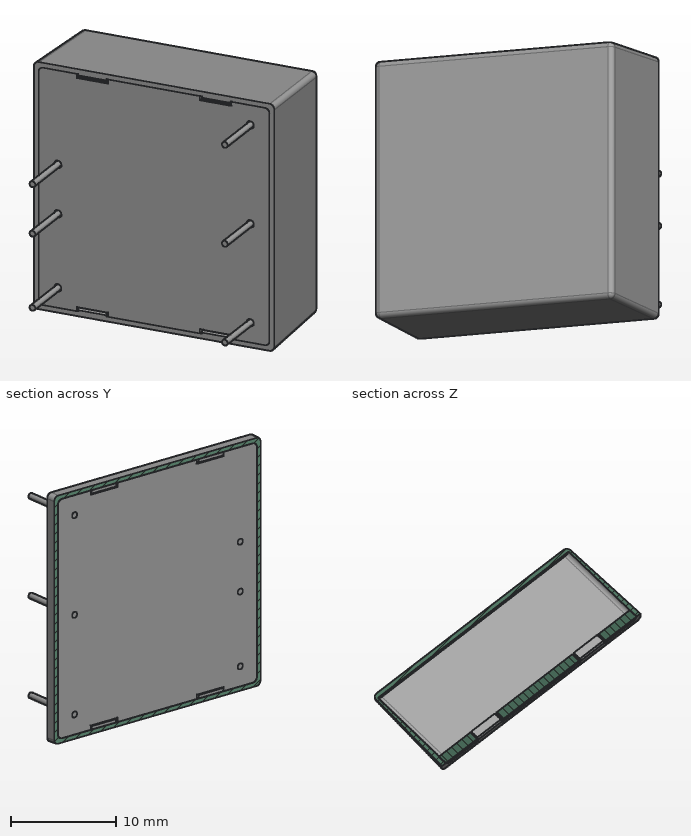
import cadquery as cq
import math

CASE_SIDE = 25.4
CASE_DEPTH = 10.2
DRAFT_ANGLE = 1.5
EDGE_RADIUS = 0.5
WALL = 0.5
MOUTH_SIDE = CASE_SIDE - 2 * WALL

PLATE_THICKNESS = 1.02
NOTCH_CENTER_X = 6.5
NOTCH_WIDTH = 3.3
NOTCH_DEPTH = 0.43

LUG_CENTER_X = 6.55
LUG_WIDTH = 3.0
LUG_FRONT_HEIGHT = 0.13
LUG_HEIGHT = 0.33
LUG_RAMP_ANGLE = 35.0

PIN_DIAMETER = 0.6
PIN_LENGTH = 5.6
RELIEF_DIAMETER = 0.75
RELIEF_DEPTH = PLATE_THICKNESS / 2
PIN_PITCH = CASE_SIDE / 10
PIN_COLUMN_X = 4 * PIN_PITCH
PIN_POSITIONS = [
    (-PIN_COLUMN_X, PIN_PITCH),
    (-PIN_COLUMN_X, -PIN_PITCH),
    (-PIN_COLUMN_X, -4 * PIN_PITCH),
    (PIN_COLUMN_X, 4 * PIN_PITCH),
    (PIN_COLUMN_X, 0),
    (PIN_COLUMN_X, -4 * PIN_PITCH),
]

RIM_PLANE = cq.Plane(origin=(0, 0, 0), xDir=(1, 0, 0), normal=(0, 1, 0))


def mouth_block(depth):
    """Round-cornered block that fills the case mouth from the rim to a depth."""
    block = cq.Workplane(RIM_PLANE).rect(MOUTH_SIDE, MOUTH_SIDE).extrude(depth)
    return block.edges("|Y").fillet(EDGE_RADIUS)


def on_four_places(shape, center_x):
    """Copies of a top-wall shape, left and right of center on the top and bottom walls."""
    return [
        shape.translate((x, 0, 0)).rotate((0, 0, 0), (0, 1, 0), turn)
        for x in (-center_x, center_x)
        for turn in (0, 180)
    ]


def make_lug():
    """Snap lug on the top wall: a front ramp leading to a flat as deep as the plate."""
    mouth_z = MOUTH_SIDE / 2
    root_z = mouth_z + WALL / 2
    ramp_depth = (LUG_HEIGHT - LUG_FRONT_HEIGHT) * math.tan(math.radians(LUG_RAMP_ANGLE))
    profile = [
        (0, root_z),
        (0, mouth_z - LUG_FRONT_HEIGHT),
        (ramp_depth, mouth_z - LUG_HEIGHT),
        (PLATE_THICKNESS, mouth_z - LUG_HEIGHT),
        (PLATE_THICKNESS, root_z),
    ]
    return cq.Workplane("YZ").polyline(profile).close().extrude(LUG_WIDTH / 2, both=True)


def make_case():
    block = cq.Workplane(RIM_PLANE).rect(CASE_SIDE, CASE_SIDE).extrude(CASE_DEPTH, taper=DRAFT_ANGLE)
    shell = block.edges("not <Y").fillet(EDGE_RADIUS)
    shell = shell.cut(mouth_block(CASE_DEPTH - WALL))
    for lug in on_four_places(make_lug(), LUG_CENTER_X):
        shell = shell.union(lug)
    return shell


def make_plate():
    body = mouth_block(PLATE_THICKNESS)

    notch = cq.Workplane(RIM_PLANE).rect(NOTCH_WIDTH, 2 * NOTCH_DEPTH).extrude(PLATE_THICKNESS)
    for cutter in on_four_places(notch.translate((0, 0, MOUTH_SIDE / 2)), NOTCH_CENTER_X):
        body = body.cut(cutter)

    for x, z in PIN_POSITIONS:
        center = cq.Workplane("XZ").center(x, z)
        body = body.cut(center.circle(PIN_DIAMETER / 2).extrude(-PLATE_THICKNESS))
        body = body.cut(center.circle(RELIEF_DIAMETER / 2).extrude(-RELIEF_DEPTH))
    return body


def make_pin(x, z):
    """Straight pin from the back of the plate to its tip in front of the case."""
    back = cq.Workplane("XZ", origin=(x, PLATE_THICKNESS, z))
    return back.circle(PIN_DIAMETER / 2).extrude(PLATE_THICKNESS + PIN_LENGTH)


case = make_case()
plate = make_plate()
pins = [make_pin(x, z) for x, z in PIN_POSITIONS]

result = cq.Compound.makeCompound([case.val(), plate.val(), *[pin.val() for pin in pins]])